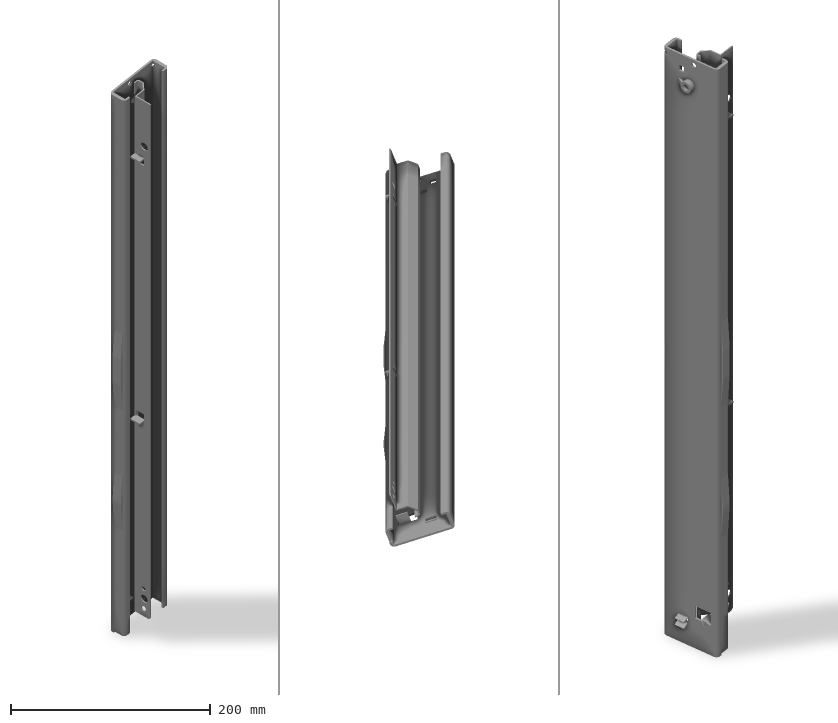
import cadquery as cq
import math

LENGTH = 730.0
CHANNEL_DEPTH = 20.5
CHANNEL_WIDTH = 68.5
WEB_THICKNESS = 2.0
FLANGE_THICKNESS = 4.0
LIP_THICKNESS = 2.0
LIP_LENGTH = 9.0
BEND_RADIUS = 4.5
FLANGE_END_RELIEF = 2.0

PAD_HEIGHT = 2.0
PAD_RAMP = 35.0
PAD_START_X = 6.5
PAD_END_X = 17.5
PADS = [(308.0, 35.0), (145.0, 4.5)]

PROJECTION = 6.5
BOSS_CENTRE = (35.0, 697.0)
BOSS_DIAMETER = 13.0
BOSS_BORE = 7.0
RAMP_START_Y = 49.0
RAMP_WIDTH = 5.0
SQUARE_HOLE_CENTRE = (45.0, 712.5)
SQUARE_HOLE_SIDE = 6.5
PILOT_CENTRE = (30.0, 723.5)
PILOT_DIAMETER = 6.0
CORNER_DENT_CENTRE = (66.0, 723.5)
CORNER_DENT_DIAMETER = 5.0
CORNER_DENT_DEPTH = 4.0

WINDOW_Y = (8.0, 28.5)
WINDOW_Z = (37.0, 52.5)
TAB_Y = (9.5, 22.0)
TAB_REACH = 14.0
TAB_THICKNESS = 1.5
DENT_CENTRE_Y = 17.0
DENT_WIDTH = 7.0
DENT_HEIGHT = 5.0
DENT_DEPTH = 1.5

TONGUE_Y = (37.0, 49.0)
TONGUE_Z = (24.0, 35.0)
TONGUE_THICKNESS = 1.5

RAIL_THICKNESS = 1.5
RAIL_BOTTOM = 30.0
RAIL_REACH = 43.0
SHELF_Y = 13.0
WALL_X = 24.0
WALL_TOP = 26.0
CREST_Y = 34.0
CREST_START_X = 10.0
CREST_END_X = 17.0
HOOK_X = 9.0
HOOK_SHOULDER = 32.0
HOOK_BOTTOM = 28.5
RAIL_CORNER = 2.0

SHELF_HOLES = [(35.0, 669.0, 9.5), (34.0, 67.0, 5.0), (35.0, 54.0, 9.5), (34.0, 40.0, 6.5)]

SLOT_X = (24.0, 35.0)
SLOT_HEIGHT = 10.0
SLOT_TAB_THICKNESS = 2.0
SLOT_TAB_BOTTOM_Y = 6.5
SLOTS = [(642.5, True), (294.0, False)]


def block(x_range, y_range, z_range):
    """Box that fills the given ranges."""
    size = [high - low for low, high in (x_range, y_range, z_range)]
    corner = (x_range[0], y_range[0], z_range[0])
    return cq.Workplane("XY").box(*size, centered=False).translate(corner)


def rod_through_web(centre, diameter, start_x, end_x):
    """Cylinder along X at the given (Y, Z)."""
    face = cq.Workplane("YZ", origin=(start_x, 0, 0)).center(*centre)
    return face.circle(diameter / 2).extrude(end_x - start_x)


def sheet_outline(path, thickness):
    """Closed outline of a sheet: the path and its mitred offset to the left."""
    headings = [math.atan2(b[1] - a[1], b[0] - a[0]) for a, b in zip(path, path[1:])]
    before = [headings[0]] + headings
    after = headings + [headings[-1]]
    offset = []
    for (u, v), first, second in zip(path, before, after):
        middle = (first + second) / 2
        reach = thickness / math.cos((second - first) / 2)
        offset.append((u - reach * math.sin(middle), v + reach * math.cos(middle)))
    return path + offset[::-1]


def channel_section():
    """C-section with rounded outer corners and short return lips."""
    outside = (
        cq.Workplane("XY")
        .rect(CHANNEL_DEPTH, CHANNEL_WIDTH, centered=False)
        .extrude(LENGTH)
        .edges("|Z")
        .fillet(BEND_RADIUS)
    )
    whole_length = (0, LENGTH)
    cavity = block(
        (WEB_THICKNESS, CHANNEL_DEPTH - LIP_THICKNESS),
        (FLANGE_THICKNESS, CHANNEL_WIDTH - FLANGE_THICKNESS),
        whole_length,
    )
    mouth = block(
        (WEB_THICKNESS, CHANNEL_DEPTH),
        (LIP_LENGTH, CHANNEL_WIDTH - LIP_LENGTH),
        whole_length,
    )
    relief = block((PAD_START_X, CHANNEL_DEPTH), (0, LIP_LENGTH), (0, FLANGE_END_RELIEF))
    return outside.cut(cavity).cut(mouth).cut(relief)


def flange_pad(bottom, crest):
    """Raised pad with a long ramp at each end of its crest."""
    profile = [
        (0, bottom),
        (-PAD_HEIGHT, bottom + PAD_RAMP),
        (-PAD_HEIGHT, bottom + PAD_RAMP + crest),
        (0, bottom + 2 * PAD_RAMP + crest),
    ]
    side = cq.Workplane("YZ", origin=(PAD_START_X, 0, 0))
    return side.polyline(profile).close().extrude(PAD_END_X - PAD_START_X)


def boss_with_ramp():
    """Round boss on the outer web face with a ramp rising to it from the +Y side."""
    boss = rod_through_web(BOSS_CENTRE, BOSS_DIAMETER, -PROJECTION, 0)
    boss_y, boss_z = BOSS_CENTRE
    profile = [(0, RAMP_START_Y), (-PROJECTION, boss_y + BOSS_BORE / 2), (0, boss_y)]
    base = cq.Workplane("XY", origin=(0, 0, boss_z - RAMP_WIDTH / 2))
    return boss.union(base.polyline(profile).close().extrude(RAMP_WIDTH))


def add_window(channel):
    """Rectangular window with an inward tab under it and a V-shaped dent at the tab's bend."""
    window = block((0, WEB_THICKNESS), WINDOW_Y, WINDOW_Z)
    tab = block((0, TAB_REACH), TAB_Y, (WINDOW_Z[0] - TAB_THICKNESS, WINDOW_Z[0]))
    bend_z = WINDOW_Z[0]
    triangle = [
        (DENT_CENTRE_Y - DENT_WIDTH / 2, bend_z),
        (DENT_CENTRE_Y + DENT_WIDTH / 2, bend_z),
        (DENT_CENTRE_Y, bend_z - DENT_HEIGHT),
    ]
    dent = cq.Workplane("YZ").polyline(triangle).close().extrude(DENT_DEPTH)
    return channel.cut(window).union(tab).cut(dent)


def add_tongue(channel):
    """Tongue that folds out of its opening, back to the web and out again."""
    low, high = TONGUE_Z
    middle = (low + high) / 2
    opening = block((0, WEB_THICKNESS), TONGUE_Y, (low, high - TONGUE_THICKNESS))
    tip = -PROJECTION
    root = WEB_THICKNESS / 2
    path = [(root, high), (tip, high - 2 * TONGUE_THICKNESS), (0, middle - TONGUE_THICKNESS), (tip, low)]
    side = cq.Workplane("XZ", origin=(0, TONGUE_Y[1], 0))
    outline = sheet_outline(path, TONGUE_THICKNESS)
    tongue = side.polyline(outline).close().extrude(TONGUE_Y[1] - TONGUE_Y[0])
    inside_projection = block((tip, WEB_THICKNESS), TONGUE_Y, (0, LENGTH))
    return channel.cut(opening).union(tongue.intersect(inside_projection))


def make_channel():
    channel = channel_section()
    for bottom, crest in PADS:
        channel = channel.union(flange_pad(bottom, crest))
    channel = channel.union(boss_with_ramp())
    channel = channel.cut(rod_through_web(BOSS_CENTRE, BOSS_BORE, -PROJECTION, WEB_THICKNESS))
    channel = channel.cut(rod_through_web(PILOT_CENTRE, PILOT_DIAMETER, 0, WEB_THICKNESS))
    channel = channel.cut(rod_through_web(CORNER_DENT_CENTRE, CORNER_DENT_DIAMETER, 0, CORNER_DENT_DEPTH))
    square_hole = block((0, WEB_THICKNESS), (0, SQUARE_HOLE_SIDE), (0, SQUARE_HOLE_SIDE))
    hole_y, hole_z = (centre - SQUARE_HOLE_SIDE / 2 for centre in SQUARE_HOLE_CENTRE)
    channel = channel.cut(square_hole.translate((0, hole_y, hole_z)))
    return add_tongue(add_window(channel))


def rail_section():
    """Bent sheet: shelf, wall, sloping shoulder, crest and hook."""
    path = [
        (RAIL_REACH, SHELF_Y + RAIL_THICKNESS),
        (WALL_X, SHELF_Y + RAIL_THICKNESS),
        (WALL_X, WALL_TOP),
        (CREST_END_X, CREST_Y),
        (CREST_START_X, CREST_Y),
        (HOOK_X, HOOK_SHOULDER),
        (HOOK_X, HOOK_BOTTOM),
    ]
    base = cq.Workplane("XY", origin=(0, 0, RAIL_BOTTOM))
    outline = sheet_outline(path, RAIL_THICKNESS)
    rail = base.polyline(outline).close().extrude(LENGTH - RAIL_BOTTOM)
    return rail.edges("|Y and >X and <Z").chamfer(RAIL_CORNER)


def add_slot(rail, bottom, tab_at_top):
    """Slot in the shelf whose material is bent toward -Y as a tab."""
    top = bottom + SLOT_HEIGHT
    shelf_top = SHELF_Y + RAIL_THICKNESS
    slot = block(SLOT_X, (SHELF_Y, shelf_top), (bottom, top))
    tab_z = (top - SLOT_TAB_THICKNESS, top) if tab_at_top else (bottom, bottom + SLOT_TAB_THICKNESS)
    tab = block((WALL_X - RAIL_THICKNESS, SLOT_X[1]), (SLOT_TAB_BOTTOM_Y, shelf_top), tab_z)
    return rail.cut(slot).union(tab)


def make_rail():
    rail = rail_section()
    for x, z, diameter in SHELF_HOLES:
        face = cq.Workplane("XZ", origin=(x, SHELF_Y + RAIL_THICKNESS, z))
        rail = rail.cut(face.circle(diameter / 2).extrude(RAIL_THICKNESS))
    for bottom, tab_at_top in SLOTS:
        rail = add_slot(rail, bottom, tab_at_top)
    return rail


channel = make_channel()
rail = make_rail()

result = cq.Compound.makeCompound([channel.solids().val(), rail.solids().val()])